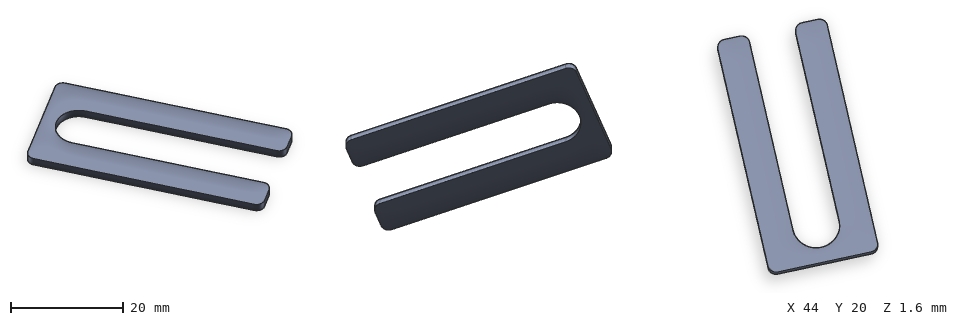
import cadquery as cq

length = 44.0
width = 20.0
thickness = 1.6
corner_radius = 1.5
slot_width = 8.4
web_thickness = 2.75

slot_radius = slot_width / 2
slot_center_x = web_thickness + slot_radius


def plate():
    """Rectangular blank with its closed end on the YZ plane."""
    return cq.Workplane("XY").box(length, width, thickness, centered=(False, True, False))


def open_slot():
    """Slot with a round closed end, running out through the +X side."""
    return (
        cq.Workplane("XY")
        .moveTo(length, slot_radius)
        .lineTo(slot_center_x, slot_radius)
        .threePointArc((web_thickness, 0), (slot_center_x, -slot_radius))
        .lineTo(length, -slot_radius)
        .close()
        .extrude(thickness)
    )


shim = plate().cut(open_slot())
closed_end_corners = shim.faces("<X").edges("|Z")
result = closed_end_corners.fillet(corner_radius).faces(">X").edges("|Z").fillet(corner_radius)